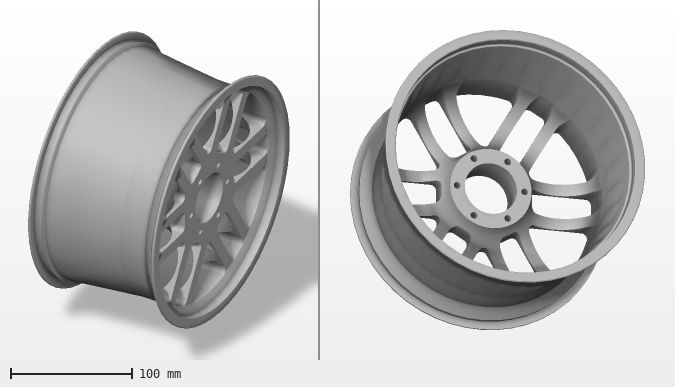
import cadquery as cq
import math


rim_width = 120.0
inner_flange_radius = 111.0
outer_flange_radius = 109.1
flange_thickness = 2.2
flange_chamfer = 0.7
inner_seat_radius = 103.8
inner_hump_radius = 104.7
inner_hump_x = 10.2
inner_hump_half_width = 1.3
cone_radius = 101.5
well_start_x = 79.2
well_end_x = 103.5
well_radius = 94.7
outer_hump_x = 113.0
outer_hump_radius = 103.0
outer_hump_half_width = 0.9
outer_seat_radius = 102.2

seat_wall = 1.5
well_wall = 1.8
well_bore = well_radius - well_wall
step_start_x = 8.9
inside_flare_start_x = 107.8
inside_flare_end_x = 112.5

bore_radius = 22.2
hub_face_x = 77.8
hub_radius = 34.8
dish_depth = 27.3
spoke_front_x = inside_flare_start_x
spoke_pairs = 6
bolt_circle_radius = 28.8
bolt_hole_radius = 2.9

window_rim_wall = 0.95
window_radius = well_radius - window_rim_wall
slot_inner_radius = 38.8
slot_half_width = 10.0
spoke_pair_half_width = 20.0
corner_radius = 4.9


def revolved(profile):
    """Close an (x, radius) profile and turn it about the wheel axis."""
    return profile.close().revolve(360, (0, 0, 0), (1, 0, 0))


def make_rim():
    outer_flange_x = rim_width - flange_thickness
    outside = [
        (0, inner_flange_radius - flange_chamfer),
        (flange_chamfer, inner_flange_radius),
        (flange_thickness - flange_chamfer, inner_flange_radius),
        (flange_thickness, inner_flange_radius - flange_chamfer),
        (flange_thickness, inner_seat_radius),
        (inner_hump_x - inner_hump_half_width, inner_seat_radius),
        (inner_hump_x, inner_hump_radius),
        (inner_hump_x + inner_hump_half_width, cone_radius),
        (well_start_x, well_radius),
        (well_end_x, well_radius),
        (outer_hump_x, outer_hump_radius),
        (outer_hump_x + outer_hump_half_width, outer_seat_radius),
        (outer_flange_x, outer_seat_radius),
        (outer_flange_x, outer_flange_radius),
        (rim_width - flange_chamfer, outer_flange_radius),
        (rim_width, outer_flange_radius - flange_chamfer),
    ]
    seat_bore = inner_seat_radius - seat_wall
    cone_bore = cone_radius - seat_wall
    outer_bore = outer_seat_radius - well_wall

    step_radius = (seat_bore - cone_bore) / 2
    step_middle_x = step_start_x + step_radius
    step_middle = (step_middle_x, cone_bore + step_radius)
    arc_offset = step_radius * (1 - math.cos(math.pi / 4))

    profile = (
        cq.Workplane("XY")
        .polyline(outside)
        .lineTo(rim_width, outer_bore)
        .lineTo(inside_flare_end_x, outer_bore)
        .lineTo(inside_flare_start_x, well_bore)
        .lineTo(well_start_x, well_bore)
        .lineTo(step_middle_x + step_radius, cone_bore)
        .threePointArc((step_middle_x + arc_offset, cone_bore + arc_offset), step_middle)
        .threePointArc(
            (step_middle_x - arc_offset, seat_bore - arc_offset),
            (step_start_x, seat_bore),
        )
        .lineTo(flange_chamfer, seat_bore)
        .lineTo(0, seat_bore + flange_chamfer)
    )
    return revolved(profile)


def make_disc():
    """Hub and spoke disc with a round dish turned into its inner face."""
    disc_radius = well_bore + well_wall / 2
    profile = (
        cq.Workplane("XY")
        .moveTo(hub_face_x, bore_radius)
        .lineTo(hub_face_x, hub_radius)
        .threePointArc(
            (hub_face_x + dish_depth, (hub_radius + well_bore) / 2),
            (well_start_x, well_bore),
        )
        .lineTo(well_start_x, disc_radius)
        .lineTo(spoke_front_x, disc_radius)
        .lineTo(spoke_front_x, bore_radius)
    )
    return revolved(profile)


def make_slot():
    """Window between the two spokes of the pair along +Y."""
    corner_y = math.sqrt(window_radius**2 - slot_half_width**2)
    return (
        cq.Workplane("YZ")
        .moveTo(slot_inner_radius, -slot_half_width)
        .lineTo(corner_y, -slot_half_width)
        .threePointArc((window_radius, 0), (corner_y, slot_half_width))
        .lineTo(slot_inner_radius, slot_half_width)
        .close()
        .extrude(rim_width)
        .edges("|X")
        .fillet(corner_radius)
    )


def make_wedge():
    """Window between the pair along +Y and the next pair."""
    half_pitch = math.pi / spoke_pairs
    tip_radius = spoke_pair_half_width / math.sin(half_pitch)
    corner_angle = math.asin(spoke_pair_half_width / window_radius)

    def polar(radius, angle):
        return (radius * math.cos(angle), radius * math.sin(angle))

    return (
        cq.Workplane("YZ")
        .moveTo(*polar(tip_radius, half_pitch))
        .lineTo(*polar(window_radius, corner_angle))
        .threePointArc(
            polar(window_radius, half_pitch),
            polar(window_radius, 2 * half_pitch - corner_angle),
        )
        .close()
        .extrude(rim_width)
        .edges("|X")
        .fillet(corner_radius)
    )


def make_bolt_hole():
    return (
        cq.Workplane("YZ")
        .center(bolt_circle_radius, 0)
        .circle(bolt_hole_radius)
        .extrude(rim_width)
    )


result = make_rim().union(make_disc())
for cutter in (make_slot(), make_wedge(), make_bolt_hole()):
    for i in range(spoke_pairs):
        angle = i * 360 / spoke_pairs
        result = result.cut(cutter.rotate((0, 0, 0), (1, 0, 0), angle))